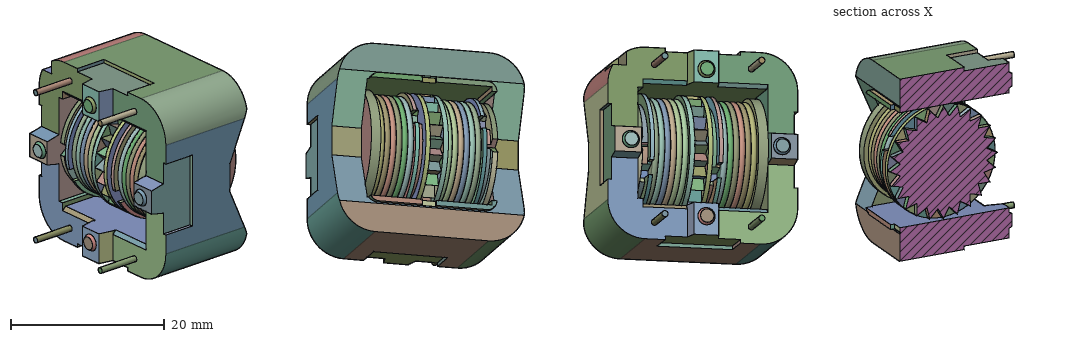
import cadquery as cq
import math


HOUSING_SIZE = 25.5
HALF_SIZE = HOUSING_SIZE / 2
CORNER_RADIUS = 5.0
BASE_DEPTH = 4.55
HOUSING_DEPTH = 14.02

VALLEY_FLOOR_Y = 11.0
VALLEY_TOP_HALF = 8.9
VALLEY_FLOOR_HALF = 1.96

RECESS_DEPTH = 0.48
RECESS_HALF = 5.05
NOTCH_EDGE = 10.25

WINDOW_HALF = 8.0
SEAT_HALF_X = 8.72
SEAT_HALF_Z = 7.4
WINDOW_CHAMFER = 0.5

SLEEVE_HALF = 8.7
SLEEVE_RADIUS = 1.3
SLEEVE_END_Y = 14.59
LIP_GAP_START = -0.45
LIP_GAP_END = 1.48

FOOT_HEIGHT = 2.05
FOOT_ROOT_HALF = 2.1
FOOT_TIP_HALF = 1.65
FOOT_OUTER = HALF_SIZE - RECESS_DEPTH
STUD_HEIGHT = 0.43
STUD_ROOT_RADIUS = 1.15
STUD_TIP_RADIUS = 0.9
STUD_OFFSET_X = 10.15
STUD_OFFSET_Z = 9.8
PIN_RADIUS = 0.4
PIN_LENGTH = 5.95
PIN_X = 6.5
PIN_Z = 10.5

FLANGE_RADIUS = 7.9
BOBBIN_REAR_Y = 15.48
AXIS_Y = BOBBIN_REAR_Y - FLANGE_RADIUS
END_FLANGE_RADIUS = 7.37
END_FLANGE_WIDTH = 0.71
NECK_RADIUS = 6.5
WIRE_PITCH = 0.8
WIRE_RADIUS = WIRE_PITCH / 2
TURNS = 6
COIL_WIDTH = TURNS * WIRE_PITCH
WIRE_CENTRE_RADIUS = 7.0

THIN_FLANGE_WIDTH = 0.54
LEFT_THIN_FLANGE_X = -7.1
LEFT_COIL_X = LEFT_THIN_FLANGE_X + THIN_FLANGE_WIDTH
MIDDLE_FLANGE_X = LEFT_COIL_X + COIL_WIDTH
GEAR_START_X = -1.15
GEAR_END_X = 0.66
GEAR_FLANGE_END_X = 1.28
RIGHT_THIN_FLANGE_X = 2.15
RIGHT_COIL_X = RIGHT_THIN_FLANGE_X + THIN_FLANGE_WIDTH
RIGHT_FLANGE_X = RIGHT_COIL_X + COIL_WIDTH

GEAR_TEETH = 24
GEAR_ROOT_RADIUS = 6.45

V_HALF_WIDTH = 0.92
V_APEX_RADIUS = 6.12

GROOVE_NEAR = 2.17
GROOVE_NECK_NEAR = 2.47
GROOVE_FLOOR_NEAR = 3.0
GROOVE_FLOOR_FAR = 4.03
GROOVE_NECK_FAR = 4.6
GROOVE_FLOOR = 4.2


def box(x0, x1, y0, y1, z0, z1):
    """Box between the given limits."""
    return cq.Workplane("XY").box(x1 - x0, y1 - y0, z1 - z0, centered=False).translate((x0, y0, z0))


def rounded_square(half, radius, y0, y1):
    """Square block along Y with rounded corners, centred on X = Z = 0."""
    return box(-half, half, y0, y1, -half, half).edges("|Y").fillet(radius)


def x_prism(points, x0, x1):
    """Extrude a (y, z) outline between two X stations."""
    return cq.Workplane("YZ", origin=(x0, 0, 0)).polyline(points).close().extrude(x1 - x0)


def spin(shape, angle):
    """Turn a shape about the housing's central Y axis."""
    return shape.rotate((0, 0, 0), (0, 1, 0), angle)


def make_core():
    """Housing with the rear valley, the sleeve lips and the bobbin window."""
    core = rounded_square(HALF_SIZE, CORNER_RADIUS, 0, HOUSING_DEPTH)
    valley = x_prism(
        [
            (HOUSING_DEPTH, -VALLEY_TOP_HALF),
            (VALLEY_FLOOR_Y, -VALLEY_FLOOR_HALF),
            (VALLEY_FLOOR_Y, VALLEY_FLOOR_HALF),
            (HOUSING_DEPTH, VALLEY_TOP_HALF),
        ],
        -HALF_SIZE,
        HALF_SIZE,
    )
    sleeve = rounded_square(SLEEVE_HALF, SLEEVE_RADIUS, BASE_DEPTH, SLEEVE_END_Y)
    lip_gap = box(LIP_GAP_START, LIP_GAP_END, HOUSING_DEPTH, SLEEVE_END_Y, -SLEEVE_HALF, SLEEVE_HALF)
    window = box(-WINDOW_HALF, SEAT_HALF_X, 0, SLEEVE_END_Y, -WINDOW_HALF, WINDOW_HALF)
    seat = box(-SEAT_HALF_X, SEAT_HALF_X, 0, SLEEVE_END_Y, -SEAT_HALF_Z, SEAT_HALF_Z)
    core = core.cut(valley).union(sleeve)
    return core.cut(lip_gap).cut(window).cut(seat)


def cut_base_details(body):
    """Chamfer the window mouth, recess the four sides and notch one corner."""
    mouth_half = WINDOW_HALF + WINDOW_CHAMFER
    mouth = x_prism(
        [
            (0, -mouth_half),
            (WINDOW_CHAMFER, -WINDOW_HALF),
            (WINDOW_CHAMFER, WINDOW_HALF),
            (0, mouth_half),
        ],
        -WINDOW_HALF,
        SEAT_HALF_X,
    )
    body = body.cut(mouth)
    recess = box(-RECESS_HALF, RECESS_HALF, 0, BASE_DEPTH, HALF_SIZE - RECESS_DEPTH, HALF_SIZE)
    for quarter in range(4):
        body = body.cut(spin(recess, 90 * quarter))
    return body.cut(box(-HALF_SIZE, -NOTCH_EDGE, 0, BASE_DEPTH, NOTCH_EDGE, HALF_SIZE))


def make_foot(inner, stud_offset):
    """Tapered foot with a conical stud, on the +Z side of the base."""
    outline = [
        (-FOOT_ROOT_HALF, WINDOW_CHAMFER),
        (-FOOT_ROOT_HALF, 0),
        (-FOOT_TIP_HALF, -FOOT_HEIGHT),
        (FOOT_TIP_HALF, -FOOT_HEIGHT),
        (FOOT_ROOT_HALF, 0),
        (FOOT_ROOT_HALF, WINDOW_CHAMFER),
    ]
    foot = cq.Workplane("XY", origin=(0, 0, inner)).polyline(outline).close().extrude(FOOT_OUTER - inner)
    stud = cq.Solid.makeCone(
        STUD_ROOT_RADIUS,
        STUD_TIP_RADIUS,
        STUD_HEIGHT,
        pnt=cq.Vector(0, -FOOT_HEIGHT, stud_offset),
        dir=cq.Vector(0, -1, 0),
    )
    return foot.union(cq.Workplane(stud))


def make_pins():
    """Four round pins standing on the mounting face."""
    corners = [(sx * PIN_X, sz * PIN_Z) for sx in (-1, 1) for sz in (-1, 1)]
    plane = cq.Workplane("XZ", origin=(0, WINDOW_CHAMFER, 0))
    return plane.pushPoints(corners).circle(PIN_RADIUS).extrude(PIN_LENGTH + WINDOW_CHAMFER)


def draw_coil(profile, start_x):
    """Continue a profile with one half-round arc per turn of wire."""
    for turn in range(TURNS):
        x = start_x + turn * WIRE_PITCH
        crest = (x + WIRE_RADIUS, WIRE_CENTRE_RADIUS + WIRE_RADIUS)
        profile = profile.threePointArc(crest, (x + WIRE_PITCH, WIRE_CENTRE_RADIUS))
    return profile


def make_spool():
    """Flanges, necks and both windings as one revolved profile."""
    neck_x = -SEAT_HALF_X + END_FLANGE_WIDTH
    profile = (
        cq.Workplane("XY")
        .moveTo(-SEAT_HALF_X, 0)
        .lineTo(-SEAT_HALF_X, END_FLANGE_RADIUS)
        .lineTo(neck_x, END_FLANGE_RADIUS)
        .lineTo(neck_x, NECK_RADIUS)
        .lineTo(LEFT_THIN_FLANGE_X, NECK_RADIUS)
        .lineTo(LEFT_THIN_FLANGE_X, FLANGE_RADIUS)
        .lineTo(LEFT_COIL_X, FLANGE_RADIUS)
        .lineTo(LEFT_COIL_X, WIRE_CENTRE_RADIUS)
    )
    profile = (
        draw_coil(profile, LEFT_COIL_X)
        .lineTo(MIDDLE_FLANGE_X, FLANGE_RADIUS)
        .lineTo(GEAR_START_X, FLANGE_RADIUS)
        .lineTo(GEAR_START_X, 0)
        .close()
    )
    left = profile.revolve(360, (0, 0, 0), (1, 0, 0))

    profile = (
        cq.Workplane("XY")
        .moveTo(GEAR_END_X, 0)
        .lineTo(GEAR_END_X, FLANGE_RADIUS)
        .lineTo(GEAR_FLANGE_END_X, FLANGE_RADIUS)
        .lineTo(GEAR_FLANGE_END_X, NECK_RADIUS)
        .lineTo(RIGHT_THIN_FLANGE_X, NECK_RADIUS)
        .lineTo(RIGHT_THIN_FLANGE_X, FLANGE_RADIUS)
        .lineTo(RIGHT_COIL_X, FLANGE_RADIUS)
        .lineTo(RIGHT_COIL_X, WIRE_CENTRE_RADIUS)
    )
    profile = (
        draw_coil(profile, RIGHT_COIL_X)
        .lineTo(RIGHT_FLANGE_X, FLANGE_RADIUS)
        .lineTo(SEAT_HALF_X, FLANGE_RADIUS)
        .lineTo(SEAT_HALF_X, 0)
        .close()
    )
    right = profile.revolve(360, (0, 0, 0), (1, 0, 0))
    return left.union(make_gear()).union(right)


def make_gear():
    """Toothed wheel with pointed teeth between the two middle flanges."""
    points = []
    for step in range(2 * GEAR_TEETH):
        radius = FLANGE_RADIUS if step % 2 == 0 else GEAR_ROOT_RADIUS
        angle = math.pi * step / GEAR_TEETH
        points.append((radius * math.cos(angle), radius * math.sin(angle)))
    return x_prism(points, GEAR_START_X, GEAR_END_X)


def make_notch_cutters():
    """V notch and lead grooves on the -Y side of the spool, which is centred on the X axis."""
    v_notch = x_prism(
        [
            (-V_APEX_RADIUS, 0),
            (-END_FLANGE_RADIUS, V_HALF_WIDTH),
            (-FLANGE_RADIUS, V_HALF_WIDTH),
            (-FLANGE_RADIUS, -V_HALF_WIDTH),
            (-END_FLANGE_RADIUS, -V_HALF_WIDTH),
        ],
        -SEAT_HALF_X,
        LEFT_THIN_FLANGE_X,
    )
    cutters = [v_notch]

    neck_near_y = -math.sqrt(NECK_RADIUS**2 - GROOVE_NECK_NEAR**2)
    neck_far_y = -math.sqrt(NECK_RADIUS**2 - GROOVE_NECK_FAR**2)
    neck_groove = [
        (-FLANGE_RADIUS, -GROOVE_NECK_NEAR),
        (neck_near_y, -GROOVE_NECK_NEAR),
        (-GROOVE_FLOOR, -GROOVE_FLOOR_NEAR),
        (-GROOVE_FLOOR, -GROOVE_FLOOR_FAR),
        (neck_far_y, -GROOVE_NECK_FAR),
        (-FLANGE_RADIUS, -GROOVE_NECK_FAR),
    ]
    flange_groove = [
        (-FLANGE_RADIUS, -GROOVE_NEAR),
        (neck_near_y, -GROOVE_NEAR),
        (neck_near_y, -GROOVE_NECK_NEAR),
        (-GROOVE_FLOOR, -GROOVE_FLOOR_NEAR),
        (-GROOVE_FLOOR, -GROOVE_FLOOR_FAR),
        (-FLANGE_RADIUS, -GROOVE_FLOOR_FAR),
    ]
    stations = [
        (-SEAT_HALF_X + END_FLANGE_WIDTH, LEFT_THIN_FLANGE_X, LEFT_COIL_X),
        (GEAR_FLANGE_END_X, RIGHT_THIN_FLANGE_X, RIGHT_COIL_X),
    ]
    for neck_x, flange_x, coil_x in stations:
        cutters.append(x_prism(neck_groove, neck_x, flange_x))
        cutters.append(x_prism(flange_groove, flange_x, coil_x))
    return cutters


def make_bobbin():
    """Complete bobbin; the notches repeat on opposite sides of its axis."""
    bobbin = make_spool()
    for cutter in make_notch_cutters():
        for angle in (0, 180):
            bobbin = bobbin.cut(cutter.rotate((0, 0, 0), (1, 0, 0), angle))
    return bobbin.translate((0, AXIS_Y, 0))


housing = cut_base_details(make_core())
for turn_angle in (0, 180):
    housing = housing.union(spin(make_foot(WINDOW_HALF, STUD_OFFSET_Z), turn_angle))
    housing = housing.union(spin(make_foot(SEAT_HALF_X, STUD_OFFSET_X), turn_angle + 90))

result = housing.union(make_pins()).union(make_bobbin())